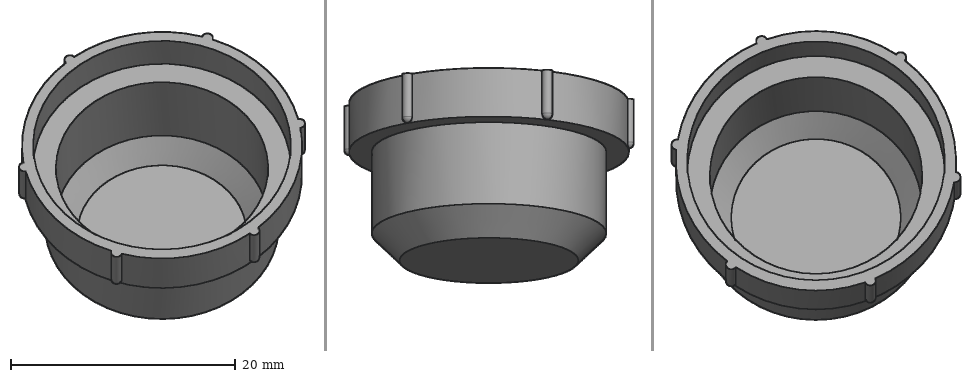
import cadquery as cq
import math

total_height = 14.5
collar_diameter = 25.0
collar_height = 4.5
body_diameter = 20.95
bore_diameter = 18.95
chamfer = 2.5
rib_count = 6
rib_radius = 0.5
rib_end_gap = 0.03

collar_radius = collar_diameter / 2
body_radius = body_diameter / 2
base_radius = body_radius - chamfer
collar_bottom = total_height - collar_height

bore_radius = bore_diameter / 2
wall = body_radius - bore_radius
recess_radius = collar_radius - wall
recess_floor = collar_bottom + wall
floor_radius = base_radius + wall - wall * math.sqrt(2)
cone_top = wall + bore_radius - floor_radius


def make_cup():
    """Revolved thin-walled cup with a wider collar at its open end."""
    profile = [
        (0, 0),
        (base_radius, 0),
        (body_radius, chamfer),
        (body_radius, collar_bottom),
        (collar_radius, collar_bottom),
        (collar_radius, total_height),
        (recess_radius, total_height),
        (recess_radius, recess_floor),
        (bore_radius, recess_floor),
        (bore_radius, cone_top),
        (floor_radius, wall),
        (0, wall),
    ]
    return cq.Workplane("XZ").polyline(profile).close().revolve(360, (0, 0), (0, 1))


def make_rib(angle):
    """Round grip rib on the collar wall, with a domed lower end."""
    dome_center = collar_bottom + rib_end_gap + rib_radius
    rib = (
        cq.Workplane("XZ", origin=(collar_radius, 0, dome_center))
        .moveTo(0, -rib_radius)
        .radiusArc((-rib_radius, 0), rib_radius)
        .lineTo(-rib_radius, total_height - dome_center)
        .lineTo(0, total_height - dome_center)
        .close()
        .revolve(360, (0, 0), (0, 1))
    )
    return rib.rotate((0, 0, 0), (0, 0, 1), angle)


result = make_cup()
for index in range(rib_count):
    result = result.union(make_rib(90 + index * 360 / rib_count))